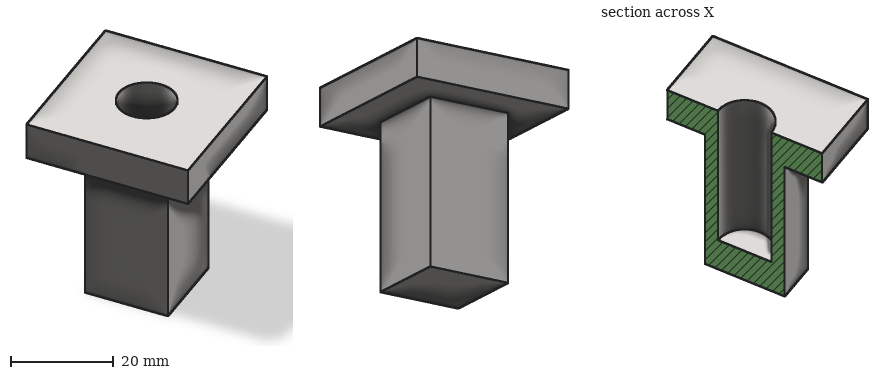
import cadquery as cq

total_height = 43.0
plate_side = 35.0
plate_thickness = 8.0
stem_side = 18.0
stem_height = total_height - plate_thickness

hole_diameter = 12.0
floor_thickness = plate_thickness
hole_depth = total_height - floor_thickness

stem = cq.Workplane("XY").rect(stem_side, stem_side).extrude(stem_height)

plate = (
    cq.Workplane("XY")
    .workplane(offset=stem_height)
    .rect(plate_side, plate_side)
    .extrude(plate_thickness)
)

hole = (
    cq.Workplane("XY")
    .workplane(offset=floor_thickness)
    .circle(hole_diameter / 2)
    .extrude(hole_depth)
)

result = stem.union(plate).cut(hole)